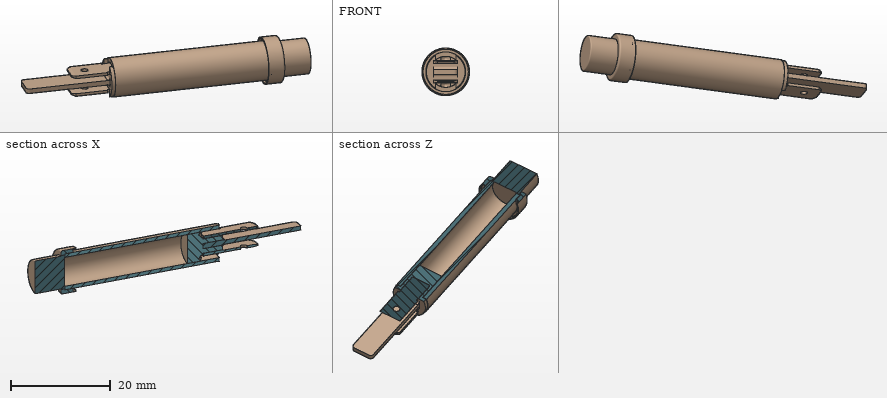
import cadquery as cq
import math


overall_length = 58.85

barrel_radius = 4.0
bore_radius = 3.1
barrel_length = 34.1

bezel_diameter = 9.6
bezel_rear = 31.65
bezel_front = 35.0
bezel_edge_radius = 0.35
bezel_recess_radius = 4.55
bezel_recess_depth = 0.6

lens_radius = 3.65
lens_front = 40.75
lens_edge_radius = 0.25

flange_radius = 3.9
flange_thickness = 0.75
plug_depth = 7.05
notch_depth = 3.55
bead_radius = 0.5
dimple_radius = 1.0
dimple_depth = 1.0
dimple_offset = 2.65

terminal_width = 4.8
long_thickness = 1.0
long_tip = lens_front - overall_length
long_corner_radius = 0.7
short_thickness = 0.6
short_offset = 1.95
short_tip = -8.6
short_neck_width = 4.1
short_shoulder = -1.25
short_corner = 0.75
short_tip_thickness = 0.3
hole_diameter = 1.35
hole_position = -5.4

flange_rear = -flange_thickness
notch_floor = short_offset - short_thickness / 2


def disc(radius, rear, front):
    """Cylinder on the Y axis between two Y positions."""
    return cq.Workplane("XZ", origin=(0, front, 0)).circle(radius).extrude(front - rear)


def block(width, rear, front, bottom, top):
    """Box centred in X, given its Y and Z limits."""
    size = (width, front - rear, top - bottom)
    return cq.Workplane("XY", origin=(0, rear, bottom)).box(*size, centered=(True, False, False))


def make_barrel():
    return disc(barrel_radius, 0, barrel_length).cut(disc(bore_radius, 0, barrel_length))


def make_bezel():
    ring = disc(bezel_diameter / 2, bezel_rear, bezel_front).faces(">Y").edges().fillet(bezel_edge_radius)
    recess = disc(bezel_recess_radius, bezel_rear, bezel_rear + bezel_recess_depth)
    barrel_seat = disc(barrel_radius, bezel_rear, barrel_length)
    lens_opening = disc(lens_radius, barrel_length, bezel_front)
    return ring.cut(recess).cut(barrel_seat).cut(lens_opening)


def make_lens():
    return disc(lens_radius, barrel_length, lens_front).faces(">Y").edges().fillet(lens_edge_radius)


def make_bead():
    """Concave bead on the flange, along the upper face of the long terminal."""
    foot = long_thickness / 2
    inset = bead_radius * (1 - math.sqrt(0.5))
    return (
        cq.Workplane("YZ", origin=(-terminal_width / 2, 0, 0))
        .moveTo(flange_rear, foot)
        .lineTo(flange_rear - bead_radius, foot)
        .threePointArc((flange_rear - inset, foot + inset), (flange_rear, foot + bead_radius))
        .close()
        .extrude(terminal_width)
    )


def make_dimple():
    """Conical dimple in the floor of the upper notch."""
    axis_start = cq.Vector(0, notch_depth, dimple_offset)
    return cq.Workplane(cq.Solid.makeCone(dimple_radius, 0, dimple_depth, axis_start, cq.Vector(0, 1, 0)))


def make_holder():
    holder = disc(flange_radius, flange_rear, 0).union(disc(bore_radius, 0, plug_depth))
    bead = make_bead()
    holder = holder.union(bead).union(bead.mirror("XY"))
    notch = block(short_neck_width, flange_rear, notch_depth, notch_floor, flange_radius)
    long_slot = block(terminal_width, flange_rear, notch_depth, -long_thickness / 2, long_thickness / 2)
    notch_and_dimple = notch.union(make_dimple())
    return holder.cut(notch_and_dimple).cut(notch_and_dimple.mirror("XY")).cut(long_slot)


def make_long_terminal():
    blade = block(terminal_width, long_tip, notch_depth, -long_thickness / 2, long_thickness / 2)
    return blade.edges("|Z and <Y").fillet(long_corner_radius)


def make_short_terminal(side):
    """Short terminal above (side = 1) or below (side = -1) the long one."""
    half_thickness = short_thickness / 2
    tip_half_thickness = short_tip_thickness / 2
    bevel_start = short_tip + short_corner
    outline = block(terminal_width, short_tip, short_shoulder, -half_thickness, half_thickness)
    outline = outline.edges("|Z and <Y").chamfer(short_corner)
    bevelled_strip = (
        cq.Workplane("YZ")
        .moveTo(short_shoulder, half_thickness)
        .lineTo(bevel_start, half_thickness)
        .lineTo(short_tip, tip_half_thickness)
        .lineTo(short_tip, -tip_half_thickness)
        .lineTo(bevel_start, -half_thickness)
        .lineTo(short_shoulder, -half_thickness)
        .close()
        .extrude(terminal_width / 2, both=True)
    )
    blade = outline.intersect(bevelled_strip)
    neck = block(short_neck_width, short_shoulder, notch_depth, -half_thickness, half_thickness)
    hole_circle = cq.Workplane("XY").center(0, hole_position).circle(hole_diameter / 2)
    hole = hole_circle.extrude(short_thickness, both=True)
    return blade.union(neck).cut(hole).translate((0, 0, side * short_offset))


barrel = make_barrel()
bezel = make_bezel()
lens = make_lens()
holder = make_holder()
long_terminal = make_long_terminal()
short_terminals = [make_short_terminal(side) for side in (1, -1)]

result = cq.Compound.makeCompound(
    [
        barrel.val(),
        bezel.val(),
        lens.val(),
        holder.val(),
        long_terminal.val(),
        *[terminal.val() for terminal in short_terminals],
    ]
)